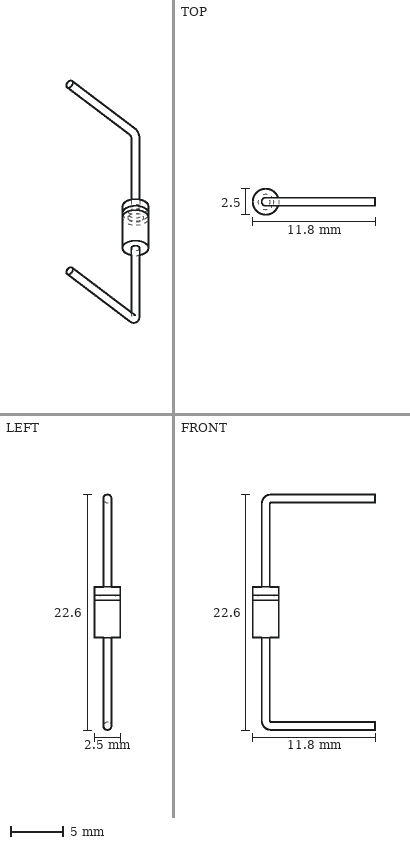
import cadquery as cq

overall_height = 22.6
overall_width = 11.75
housing_diameter = 2.5
housing_length = 4.85
band_inner_diameter = 1.5
band_width = 0.5
band_end_gap = 0.8
lead_diameter = 0.8
bend_radius = 0.5

housing_top = housing_length / 2
band_bottom = housing_top - band_end_gap - band_width
lead_axis_height = (overall_height - lead_diameter) / 2
lead_tip_x = overall_width - housing_diameter / 2


def make_band():
    """Polarity ring, flush with the housing surface."""
    return (
        cq.Workplane("XY", origin=(0, 0, band_bottom))
        .circle(housing_diameter / 2)
        .circle(band_inner_diameter / 2)
        .extrude(band_width)
    )


def make_housing(band):
    """Solid cylinder with a groove that the band fills."""
    cylinder = (
        cq.Workplane("XY", origin=(0, 0, -housing_top))
        .circle(housing_diameter / 2)
        .extrude(housing_length)
    )
    return cylinder.cut(band)


def make_lead(side):
    """Round wire from a housing end face (side 1: upper, -1: lower), bent over toward +X."""
    end_face = side * housing_top
    bend_start = side * (lead_axis_height - bend_radius)
    path = (
        cq.Workplane("XZ")
        .moveTo(0, end_face)
        .lineTo(0, bend_start)
        .tangentArcPoint((bend_radius, side * lead_axis_height), relative=False)
        .lineTo(lead_tip_x, side * lead_axis_height)
    )
    return cq.Workplane("XY", origin=(0, 0, end_face)).circle(lead_diameter / 2).sweep(path)


band = make_band()
housing = make_housing(band)
leads = [make_lead(side) for side in (1, -1)]

result = cq.Compound.makeCompound([housing.val(), band.val(), *[lead.val() for lead in leads]])